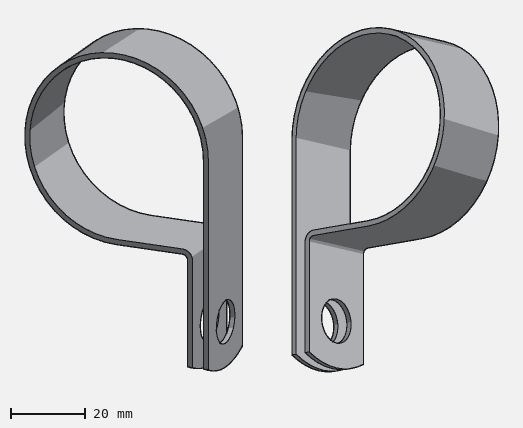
import cadquery as cq
import math

total_height = 88.0
width = 22.2
thickness = 1.5
loop_radius = 26.9
leg_gap = 3.2
bend_radius = 3.0
hole_diameter = 12.0
hole_height = 12.8
tip_rise = 2.6

inner_radius = loop_radius - thickness
inner_bend_radius = bend_radius - thickness
tip_z = loop_radius - total_height
short_leg_outer_x = inner_radius - leg_gap
short_leg_inner_x = short_leg_outer_x - thickness
bend_x = short_leg_outer_x - bend_radius
bend_z = -inner_radius - bend_radius
diagonal = math.sqrt(0.5)


def make_strap():
    """Bent strip: long leg, loop, flat shelf, bend and short leg."""
    profile = (
        cq.Workplane("XZ")
        .moveTo(loop_radius, tip_z)
        .lineTo(loop_radius, 0)
        .threePointArc((-loop_radius * diagonal, loop_radius * diagonal), (0, -loop_radius))
        .lineTo(bend_x, -loop_radius)
        .threePointArc(
            (bend_x + inner_bend_radius * diagonal, bend_z + inner_bend_radius * diagonal),
            (short_leg_inner_x, bend_z),
        )
        .lineTo(short_leg_inner_x, tip_z)
        .lineTo(short_leg_outer_x, tip_z)
        .lineTo(short_leg_outer_x, bend_z)
        .threePointArc(
            (bend_x + bend_radius * diagonal, bend_z + bend_radius * diagonal),
            (bend_x, -inner_radius),
        )
        .lineTo(0, -inner_radius)
        .threePointArc((-inner_radius * diagonal, inner_radius * diagonal), (inner_radius, 0))
        .lineTo(inner_radius, tip_z)
        .close()
    )
    return profile.extrude(width / 2, both=True)


def make_tip_envelope():
    """Block around the strap whose underside is the arc of the leg tips."""
    corner_z = tip_z + tip_rise
    return (
        cq.Workplane("YZ")
        .moveTo(-width / 2, loop_radius)
        .lineTo(-width / 2, corner_z)
        .threePointArc((0, tip_z), (width / 2, corner_z))
        .lineTo(width / 2, loop_radius)
        .close()
        .extrude(loop_radius, both=True)
    )


def make_bolt_hole():
    """Cylinder along X through both legs."""
    return (
        cq.Workplane("YZ")
        .center(0, tip_z + hole_height)
        .circle(hole_diameter / 2)
        .extrude(loop_radius)
    )


result = make_strap().intersect(make_tip_envelope()).cut(make_bolt_hole())